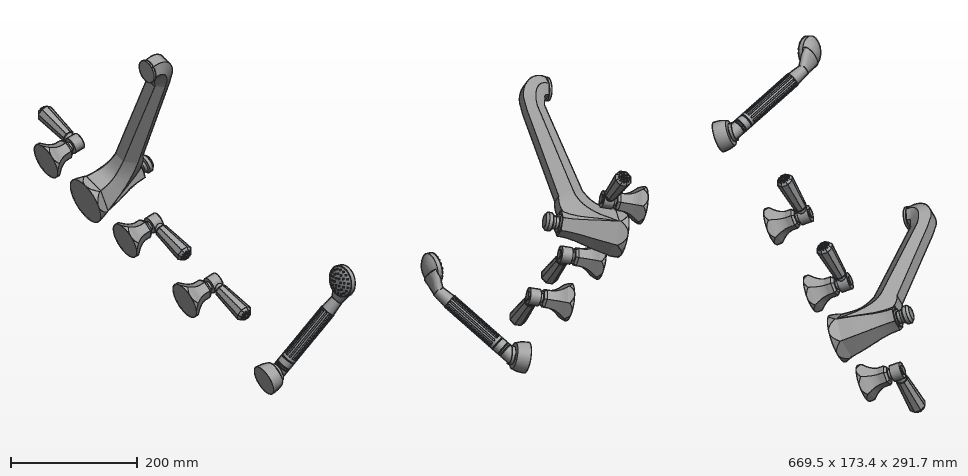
import cadquery as cq
import math


HANDLE_SPACING = 101.0
HANDLES = [(-HANDLE_SPACING, -1), (HANDLE_SPACING, 1), (254.0, 1)]
SHOWER_X = 456.5

SPOUT_FLANGE_RADIUS = 39.0
SPOUT_FLANGE_DEPTH = 16.0
SPOUT_HEX_RADIUS = 37.5
STUB_END_Y = 104.0
STUB_END_RADIUS = 21.0
STUB_FLARE = [(46.0, 31.0), (72.0, 24.0)]
ARM_FLAT = 10.0
ARM_FOOT = (88.0, 50.0, 68)
ARM_FOOT_DEPTH = 21.5
ARM_FOOT_WIDTH = 22.0
ARM_TOP = (146.0, 193.5, 68)
ARM_TOP_DEPTH = 16.0
ARM_TOP_WIDTH = 17.5
BEND_SECTIONS = [
    ((51.0, 13.5, 22), 24.0, 29.5, 15.0, 32.0),
    ((73.5, 29.5, 50), 23.5, 24.0, 12.0, 31.0),
]
ELBOW_SECTIONS = [
    ((148.0, 202.0, 90), 17.0, 18.0),
    ((148.5, 214.0, 100), 18.0, 19.0),
    ((144.5, 227.5, 125), 18.0, 19.0),
]
OUTLET = (122.5, 234.0, 169)
OUTLET_RADIUS = 19.0
OUTLET_HEX_RADIUS = 18.0
OUTLET_COLLAR = 4.0
KNOB_COLLAR_RADIUS = 15.0
KNOB_COLLAR = 3.0
KNOB_NECK_RADIUS = 10.0
KNOB_FLARE_RADIUS = 12.0
KNOB_RADIUS = 15.0
KNOB_END_RADIUS = 11.0
KNOB_LENGTH = 24.0
KNOB_NECK_END = 7.5
KNOB_FLARE_END = 12.0
KNOB_DISC_START = 14.0
KNOB_DISC_END = 20.0
KNOB_RECESS = 3.5

HANDLE_RIM_RADIUS = 30.0
HANDLE_RIM_DEPTH = 9.0
HANDLE_RIM_HEX_RADIUS = 29.0
HANDLE_FLARE = [(17.5, 21.5), (23.5, 18.0)]
HANDLE_WAIST_RADIUS = 16.0
HANDLE_WAIST_Y = 30.0
HANDLE_SHOULDER_Y = 40.0
HANDLE_TOP_Y = 44.0
HANDLE_TOP_RADIUS = 13.0
HUB_RADIUS = 13.5
HUB_START_Y = 49.5
HUB_END_Y = 67.0
HUB_NECK_RADIUS = 7.5
HUB_CAP = 2.0
GRIP_Y = 58.0
GRIP_NECK_RADIUS = 8.0
GRIP_START = 17.5
GRIP_END = 77.5
GRIP_START_APOTHEM = 9.5
GRIP_END_APOTHEM = 13.0
GRIP_SIDES = 8
GRIP_CAP_LENGTH = 6.0
GRIP_CAP_APOTHEM = 8.0
GRIP_GROOVE = 2.0
GRIP_BUTTON_RADIUS = 2.0
GRIP_TIP = 86.5

HOLDER_RADIUS = 25.0
HOLDER_STRAIGHT = 3.5
HOLDER_SHOULDER_RADIUS = 21.0
HOLDER_DOME_Y = 21.5
HOLDER_SEAT_RADIUS = 11.5
HOLDER_SEAT_Y = 23.0
HOLDER_COLLAR_RADIUS = 15.0
HOLDER_TOP_Y = 28.0

WAND_TILT = 37.5
WAND_START_Y = 26.0
WAND_RADIUS = 12.0
GRIP_LOW = 32.0
GRIP_HIGH = 128.5
WAND_NECK_RADIUS = 11.5
WAND_END = 154.0
WAND_END_RADIUS = 9.5
RING_STARTS = (11.5, 15.5, 27.5)
RING_WIDTH = 1.5
RING_RADIUS = 11.0
FLUTES = 12
FLUTE_RADIUS = 1.5
FLUTE_MARGIN = 2.0
HEAD_Y = 153.0
HEAD_Z = 133.0
HEAD_TILT = 24
HEAD_RADIUS = 25.5
HEAD_FACE_RADIUS = 24.0
HEAD_RIM = 8.0
HEAD_DOME = 19.0
HEAD_DOME_SHOULDER = (18.0, 14.0)
FACE_BULGE = 6.0
NOZZLE_RADIUS = 1.5
NOZZLE_RISE = 1.5
NOZZLE_RINGS = [(7.0, 6), (13.5, 12), (20.0, 18)]
THROAT_OVERLAP = 3.5
THROAT_DROP = 10.0
THROAT_HALF_WIDTH = 21.5
THROAT_HALF_DEPTH = 10.0

HEX_APOTHEM = math.cos(math.pi / 6)


def hexagon(place, front_depth, half_width, half_flat, back_depth=None):
    """Six-sided section with two flats and two side corners, square to a path in the YZ plane."""
    if back_depth is None:
        back_depth = front_depth
    y, z, slope = place
    front_y = -math.sin(math.radians(slope))
    front_z = math.cos(math.radians(slope))
    corners = [
        (half_flat, front_depth), (half_width, 0), (half_flat, -back_depth),
        (-half_flat, -back_depth), (-half_width, 0), (-half_flat, front_depth),
    ]
    points = [cq.Vector(x, y + d * front_y, z + d * front_z) for x, d in corners]
    return cq.Wire.makePolygon(points, close=True)


def regular_hexagon(y, radius):
    """Regular hexagon square to Y with its flats above and below."""
    return hexagon((y, 0, 0), HEX_APOTHEM * radius, radius, radius / 2)


def loft(sections, ruled=False):
    return cq.Workplane(cq.Solid.makeLoft(sections, ruled))


def disc_y(radius, start, end):
    """Round cylinder about the Y axis."""
    return cq.Workplane(cq.Solid.makeCylinder(
        radius, end - start, cq.Vector(0, start, 0), cq.Vector(0, 1, 0)))


def hex_flange(hex_radius, rim_radius, depth):
    """Round wall flange whose six flared flats narrow to a hexagon."""
    flare = loft([regular_hexagon(0, rim_radius / HEX_APOTHEM), regular_hexagon(depth, hex_radius)], True)
    return flare.intersect(disc_y(rim_radius, 0, depth))


def spout_foot():
    """Flange, straight stub, and the bend that turns the stub up into the arm."""
    flange = hex_flange(SPOUT_HEX_RADIUS, SPOUT_FLANGE_RADIUS, SPOUT_FLANGE_DEPTH)
    base = regular_hexagon(SPOUT_FLANGE_DEPTH, SPOUT_HEX_RADIUS)
    flare = [regular_hexagon(y, radius) for y, radius in STUB_FLARE]
    stub = loft([base, *flare, regular_hexagon(STUB_END_Y, STUB_END_RADIUS)])
    turn = [hexagon(*section) for section in BEND_SECTIONS]
    bend = loft([base, *turn, arm_foot_section()])
    return flange.union(stub).union(bend)


def arm_foot_section():
    return hexagon(ARM_FOOT, ARM_FOOT_DEPTH, ARM_FOOT_WIDTH, ARM_FLAT)


def spout_arm():
    """Straight tapered arm with a short wedge that levels its top."""
    arm_top = hexagon(ARM_TOP, ARM_TOP_DEPTH, ARM_TOP_WIDTH, ARM_FLAT)
    return loft([arm_foot_section(), arm_top, hexagon(*ELBOW_SECTIONS[0], ARM_FLAT)], True)


def spout_head():
    """Elbow that turns the arm forward, ending in a round outlet collar."""
    turn = [hexagon(*section, ARM_FLAT) for section in ELBOW_SECTIONS]
    end = hexagon(OUTLET, HEX_APOTHEM * OUTLET_HEX_RADIUS, OUTLET_HEX_RADIUS, OUTLET_HEX_RADIUS / 2)
    elbow = loft([*turn, end])
    y, z, slope = OUTLET
    inward = cq.Vector(0, -math.cos(math.radians(slope)), -math.sin(math.radians(slope)))
    collar = cq.Solid.makeCylinder(OUTLET_RADIUS, OUTLET_COLLAR, cq.Vector(0, y, z), inward)
    return elbow.union(cq.Workplane(collar))


def diverter_knob():
    """Turned knob on the back of the stub."""
    profile = [
        (0, -KNOB_RECESS),
        (KNOB_COLLAR_RADIUS, -KNOB_RECESS),
        (KNOB_COLLAR_RADIUS, KNOB_COLLAR),
        (KNOB_NECK_RADIUS, KNOB_COLLAR),
        (KNOB_NECK_RADIUS, KNOB_NECK_END),
        (KNOB_FLARE_RADIUS, KNOB_FLARE_END),
        (KNOB_RADIUS, KNOB_DISC_START),
        (KNOB_RADIUS, KNOB_DISC_END),
        (KNOB_END_RADIUS, KNOB_LENGTH),
        (0, KNOB_LENGTH),
    ]
    points = [(radius, STUB_END_Y + y) for radius, y in profile]
    return cq.Workplane("XY").polyline(points).close().revolve(360, (0, 0), (0, 1))


def make_spout():
    return spout_foot().union(spout_arm()).union(spout_head()).union(diverter_knob())


def handle_pedestal():
    """Flared hexagonal foot, with a corner pointing up, under a round neck and hub."""
    waist = regular_hexagon(HANDLE_WAIST_Y, HANDLE_WAIST_RADIUS)
    rim_top = regular_hexagon(HANDLE_RIM_DEPTH, HANDLE_RIM_HEX_RADIUS)
    flange = hex_flange(HANDLE_RIM_HEX_RADIUS, HANDLE_RIM_RADIUS, HANDLE_RIM_DEPTH)
    flare = loft([rim_top, *[regular_hexagon(y, radius) for y, radius in HANDLE_FLARE], waist])
    shoulder = regular_hexagon(HANDLE_SHOULDER_Y, HANDLE_WAIST_RADIUS)
    prism = loft([waist, shoulder, regular_hexagon(HANDLE_TOP_Y, HANDLE_TOP_RADIUS)], True)
    pedestal = flange.union(flare).union(prism)
    pedestal = pedestal.rotate((0, 0, 0), (0, 1, 0), 30)
    neck = disc_y(HUB_NECK_RADIUS, HANDLE_SHOULDER_Y, HUB_END_Y + HUB_CAP)
    hub = disc_y(HUB_RADIUS, HUB_START_Y, HUB_END_Y)
    return pedestal.union(neck).union(hub)


def octagon(x, apothem):
    """Octagon square to the lever axis with flats at front and top."""
    corner = apothem / math.cos(math.pi / GRIP_SIDES)
    points = []
    for i in range(GRIP_SIDES):
        angle = (2 * i + 1) * math.pi / GRIP_SIDES
        points.append(cq.Vector(x, GRIP_Y + corner * math.cos(angle), corner * math.sin(angle)))
    return cq.Wire.makePolygon(points, close=True)


def lever_rod(radius, start, end):
    return cq.Workplane(cq.Solid.makeCylinder(
        radius, end - start, cq.Vector(start, GRIP_Y, 0), cq.Vector(1, 0, 0)))


def handle_lever():
    """Tapered octagonal lever with a grooved, bevelled end and a centre button."""
    cap_end = GRIP_END + GRIP_CAP_LENGTH
    grip = loft([
        octagon(GRIP_START, GRIP_START_APOTHEM),
        octagon(GRIP_END, GRIP_END_APOTHEM),
        octagon(cap_end, GRIP_CAP_APOTHEM),
    ], True)
    for i in range(GRIP_SIDES // 2):
        groove = cq.Workplane("XY").box(2 * GRIP_GROOVE, 2 * GRIP_END_APOTHEM, GRIP_GROOVE)
        groove = groove.rotate((0, 0, 0), (1, 0, 0), i * 360 / GRIP_SIDES)
        grip = grip.cut(groove.translate((cap_end, GRIP_Y, 0)))
    neck = lever_rod(GRIP_NECK_RADIUS, 0, GRIP_START + GRIP_GROOVE)
    button = lever_rod(GRIP_BUTTON_RADIUS, GRIP_END, GRIP_TIP)
    return grip.union(neck).union(button)


def make_handle(x, direction):
    handle = handle_pedestal().union(handle_lever())
    if direction < 0:
        handle = handle.mirror("YZ")
    return handle.translate((x, 0, 0))


def make_holder():
    """Domed round holder with a collar on top."""
    profile = (
        cq.Workplane("XY")
        .lineTo(HOLDER_RADIUS, 0)
        .lineTo(HOLDER_RADIUS, HOLDER_STRAIGHT)
        .tangentArcPoint((HOLDER_SHOULDER_RADIUS, HOLDER_DOME_Y), relative=False)
        .lineTo(HOLDER_SEAT_RADIUS, HOLDER_DOME_Y)
        .lineTo(HOLDER_SEAT_RADIUS, HOLDER_SEAT_Y)
        .lineTo(HOLDER_COLLAR_RADIUS, HOLDER_SEAT_Y)
        .lineTo(HOLDER_COLLAR_RADIUS, HOLDER_TOP_Y)
        .lineTo(0, HOLDER_TOP_Y)
        .close()
    )
    return profile.revolve(360, (0, 0), (0, 1)).translate((SHOWER_X, 0, 0))


def around_y(shape, count):
    """Equally spaced copies of a shape about the Y axis."""
    return [shape.rotate((0, 0, 0), (0, 1, 0), i * 360 / count).val() for i in range(count)]


def shower_wand():
    """Turned wand along Y with ring grooves, a fluted grip and a tapered neck."""
    wand = disc_y(WAND_RADIUS, -WAND_RADIUS, GRIP_HIGH)
    for start in RING_STARTS:
        end = start + RING_WIDTH
        wand = wand.cut(disc_y(2 * WAND_RADIUS, start, end).cut(disc_y(RING_RADIUS, start, end)))
    flute = disc_y(FLUTE_RADIUS, GRIP_LOW + FLUTE_MARGIN, GRIP_HIGH - FLUTE_MARGIN)
    flutes = around_y(flute.translate((0, 0, WAND_RADIUS)), FLUTES)
    fluted = cq.Workplane(wand.val().cut(*flutes))
    neck = cq.Workplane(cq.Solid.makeCone(
        WAND_NECK_RADIUS, WAND_END_RADIUS, WAND_END - GRIP_HIGH,
        cq.Vector(0, GRIP_HIGH, 0), cq.Vector(0, 1, 0)))
    wand = fluted.union(neck)
    return wand.rotate((0, 0, 0), (1, 0, 0), WAND_TILT).translate((0, WAND_START_Y, 0))


def shower_head():
    """Domed head about Y, its bulged spray face toward -Y carrying rings of nozzles."""
    sphere = (HEAD_FACE_RADIUS ** 2 + FACE_BULGE ** 2) / (2 * FACE_BULGE)

    def face_y(radius):
        return sphere - FACE_BULGE - math.sqrt(sphere ** 2 - radius ** 2)

    half_face = HEAD_FACE_RADIUS / 2
    profile = (
        cq.Workplane("XY")
        .moveTo(0, -FACE_BULGE)
        .threePointArc((half_face, face_y(half_face)), (HEAD_FACE_RADIUS, 0))
        .lineTo(HEAD_RADIUS, 0)
        .lineTo(HEAD_RADIUS, HEAD_RIM)
        .threePointArc(HEAD_DOME_SHOULDER, (0, HEAD_DOME))
        .close()
    )
    head = profile.revolve(360, (0, 0), (0, 1))
    nozzles = []
    for ring_radius, count in NOZZLE_RINGS:
        nozzle = disc_y(NOZZLE_RADIUS, face_y(ring_radius) - NOZZLE_RISE, HEAD_RIM / 2)
        nozzles += around_y(nozzle.translate((0, 0, ring_radius)), count)
    head = cq.Workplane(head.val().fuse(*nozzles))
    return head.rotate((0, 0, 0), (1, 0, 0), -HEAD_TILT).translate((0, HEAD_Y, HEAD_Z))


def shower_throat():
    """Neck that widens from the round wand end to a flat oval inside the head."""
    across = cq.Vector(1, 0, 0)
    tilt = math.radians(WAND_TILT)
    along = cq.Vector(0, math.cos(tilt), math.sin(tilt))
    wand_end = cq.Vector(0, WAND_START_Y, 0) + along * (WAND_END - THROAT_OVERLAP)
    lean = math.radians(HEAD_TILT)
    up = cq.Vector(0, math.sin(lean), math.cos(lean))
    back = cq.Vector(0, math.cos(lean), -math.sin(lean))
    head_end = cq.Vector(0, HEAD_Y, HEAD_Z) + back * THROAT_HALF_DEPTH - up * THROAT_DROP
    round_end = cq.Wire.makeEllipse(WAND_END_RADIUS, WAND_END_RADIUS, wand_end, along, across)
    oval_end = cq.Wire.makeEllipse(THROAT_HALF_WIDTH, THROAT_HALF_DEPTH, head_end, up, across)
    return loft([round_end, oval_end], True)


def make_hand_shower():
    """Hand shower ending flush on top of the holder collar."""
    shower = shower_wand().union(shower_throat()).union(shower_head())
    wall_side = disc_y(2 * HOLDER_RADIUS, -HOLDER_TOP_Y, HOLDER_TOP_Y)
    return shower.cut(wall_side).translate((SHOWER_X, 0, 0))


spout = make_spout()
handles = [make_handle(x, direction) for x, direction in HANDLES]
holder = make_holder()
hand_shower = make_hand_shower()

result = cq.Compound.makeCompound([
    spout.solids().val(),
    *[handle.solids().val() for handle in handles],
    holder.solids().val(),
    hand_shower.solids().val(),
])